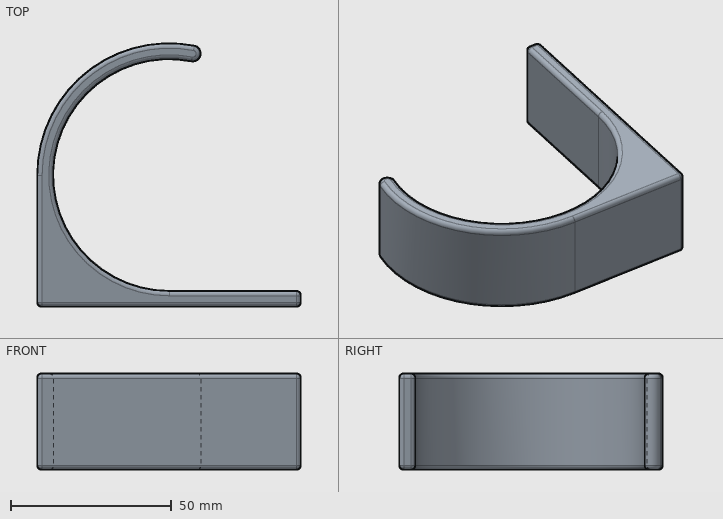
import cadquery as cq
import math

side_length = 82.0
height = 30.0
wall = 5.0
edge_radius = 1.5
tip_angle = 79.0

outer_radius = side_length / 2
inner_radius = outer_radius - wall
middle_radius = outer_radius - wall / 2
tip_radius = wall / 2


def arc_point(radius, degrees):
    angle = math.radians(degrees)
    return (radius * math.cos(angle), radius * math.sin(angle))


tip_center_x, tip_center_y = arc_point(middle_radius, tip_angle)
tip_offset_x, tip_offset_y = arc_point(tip_radius, tip_angle - 90)
tip_end = (tip_center_x + tip_offset_x, tip_center_y + tip_offset_y)

middle_of_outer_arc = (tip_angle + 180) / 2
middle_of_inner_arc = (tip_angle + 270) / 2

body = (
    cq.Workplane("XY")
    .moveTo(-outer_radius, -outer_radius)
    .lineTo(outer_radius, -outer_radius)
    .lineTo(outer_radius, -inner_radius)
    .lineTo(0, -inner_radius)
    .threePointArc(
        arc_point(inner_radius, middle_of_inner_arc),
        arc_point(inner_radius, tip_angle),
    )
    .threePointArc(tip_end, arc_point(outer_radius, tip_angle))
    .threePointArc(arc_point(outer_radius, middle_of_outer_arc), (-outer_radius, 0))
    .close()
    .extrude(height)
)

corners = [
    (-outer_radius, -outer_radius),
    (outer_radius, -outer_radius),
    (outer_radius, -inner_radius),
]
for x, y in corners:
    corner_edge = cq.selectors.NearestToPointSelector((x, y, height / 2))
    body = body.edges("|Z").edges(corner_edge).fillet(edge_radius)

result = body.faces("<Z or >Z").edges().fillet(edge_radius)